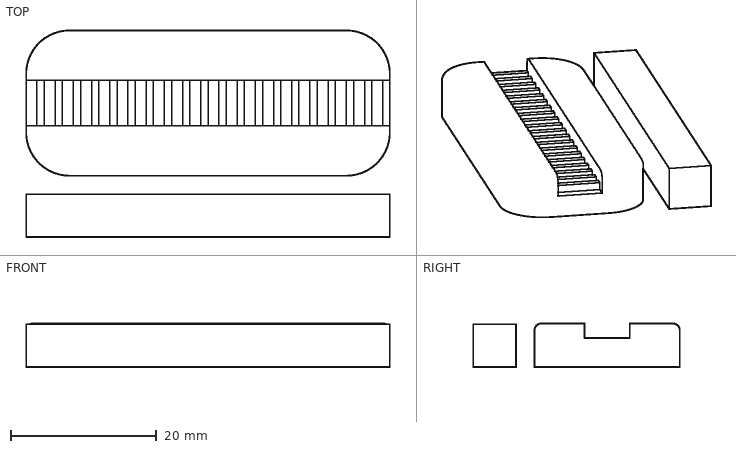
import cadquery as cq

length = 50.0
housing_width = 20.0
height = 6.0
corner_radius = 6.0
top_edge_radius = 1.0

channel_width = 6.2
channel_depth = 2.0

overall_width = 28.41
bar_clearance = 0.3
bar_size = channel_width - bar_clearance
bar_gap = overall_width - housing_width - bar_size

groove_count = 20
groove_pitch = length / groove_count
tooth_width = 1.0
groove_width = groove_pitch - tooth_width
groove_depth = 1.0


def make_channel():
    """Open channel through the full length of the housing, cut from the top."""
    return cq.Workplane("XY").box(
        length, channel_width, channel_depth, centered=(True, True, False)
    ).translate((0, 0, height - channel_depth))


def make_groove(start_x):
    """One square groove across the channel floor, starting at start_x."""
    groove_floor = height - channel_depth - groove_depth
    return cq.Workplane("XY").box(
        groove_width, channel_width, groove_depth, centered=(False, True, False)
    ).translate((start_x, 0, groove_floor))


def make_housing():
    """Rounded block with a softened top edge, a channel and its row of teeth."""
    body = cq.Workplane("XY").box(
        length, housing_width, height, centered=(True, True, False)
    )
    body = body.edges("|Z").fillet(corner_radius)
    body = body.faces(">Z").edges().fillet(top_edge_radius)
    body = body.cut(make_channel())
    for index in range(groove_count):
        body = body.cut(make_groove(-length / 2 + index * groove_pitch))
    return body


def make_bar():
    """Square bar parallel to the housing, on its -Y side."""
    center_y = -(housing_width / 2 + bar_gap + bar_size / 2)
    return cq.Workplane("XY").box(
        length, bar_size, bar_size, centered=(True, True, False)
    ).translate((0, center_y, 0))


housing = make_housing()
bar = make_bar()

result = cq.Compound.makeCompound([*housing.solids().vals(), bar.val()])